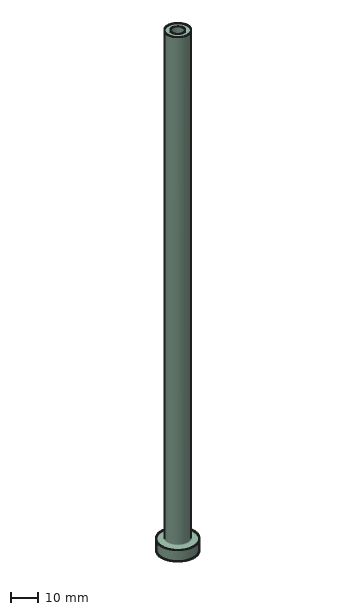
import cadquery as cq

total_length = 225.0
head_diameter = 16.0
head_height = 5.0
shank_diameter = 10.0
bore_diameter = 5.5
neck_fillet = 0.5

head = cq.Workplane("XY").circle(head_diameter / 2).extrude(head_height)
shank = cq.Workplane("XY").circle(shank_diameter / 2).extrude(total_length)
body = head.union(shank)

shoulder = body.faces(cq.selectors.NearestToPointSelector((head_diameter / 2, 0, head_height)))
neck_edge = shoulder.edges(cq.selectors.RadiusNthSelector(0))
body = neck_edge.fillet(neck_fillet)

bore = cq.Workplane("XY").circle(bore_diameter / 2).extrude(total_length)
result = body.cut(bore)